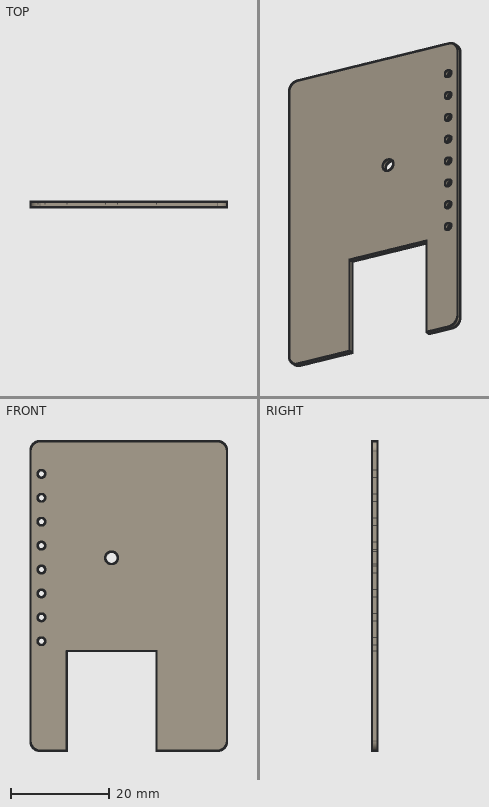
import cadquery as cq

WIDTH = 40.0
HEIGHT = 63.0
THICKNESS = 1.2
CORNER_RADIUS = 2.0

NOTCH_LEFT = 7.4
NOTCH_WIDTH = 18.2
NOTCH_DEPTH = 20.3

PIN_HOLE_DIAMETER = 1.5
PIN_HOLE_COUNT = 8
PIN_HOLE_PITCH = 4.86
PIN_HOLE_X = 2.25
LOWEST_PIN_HOLE_Z = 22.3

MOUNT_HOLE_DIAMETER = 2.5
MOUNT_HOLE_X = 16.5
MOUNT_HOLE_Z = 39.25


def make_block(x, z, width, height):
    """Block through the plate thickness, with its lower left corner at (x, z)."""
    return cq.Workplane("XY").box(width, THICKNESS, height, centered=False).translate((x, 0, z))


def make_hole_cutters(centers, diameter):
    """Cylinders along Y through the plate, centred at the given (x, z) points."""
    return cq.Workplane("XZ").pushPoints(centers).circle(diameter / 2).extrude(-THICKNESS)


plate = make_block(0, 0, WIDTH, HEIGHT).edges("|Y").fillet(CORNER_RADIUS)
notch = make_block(NOTCH_LEFT, 0, NOTCH_WIDTH, NOTCH_DEPTH)

pin_hole_centers = [
    (PIN_HOLE_X, LOWEST_PIN_HOLE_Z + index * PIN_HOLE_PITCH) for index in range(PIN_HOLE_COUNT)
]
pin_holes = make_hole_cutters(pin_hole_centers, PIN_HOLE_DIAMETER)
mount_hole = make_hole_cutters([(MOUNT_HOLE_X, MOUNT_HOLE_Z)], MOUNT_HOLE_DIAMETER)

result = plate.cut(notch).cut(pin_holes).cut(mount_hole)